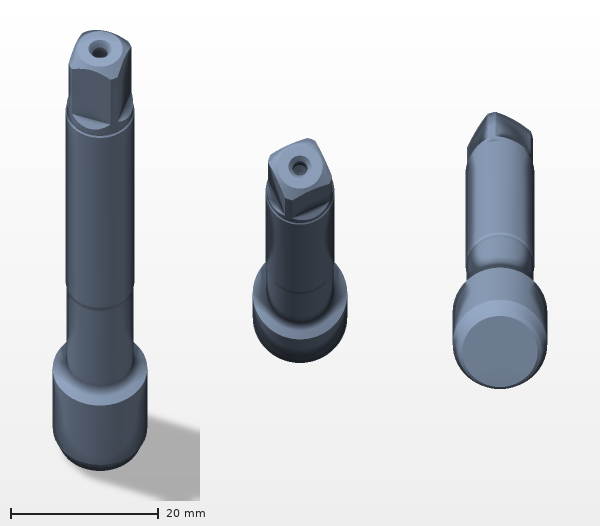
import cadquery as cq
import math

total_length = 85.85
head_length = 15.9
taper_bottom_z = 34.3
shank_bottom_z = 35.1
shank_top_z = 72.5

head_diameter = 12.8
neck_diameter = 9.02
shank_diameter = 9.32
drive_diameter = 8.95

tip_diameter = 10.2
tip_edge_diameter = 11.2
tip_edge_height = 0.55
lead_in_height = 2.9

shoulder_angle = math.radians(30)
neck_fillet_radius = 1.5

square_width = 7.05
flat_bottom_z = 74.7
runout_size = 1.0
drive_top_diameter = 6.1
drive_bevel_height = 1.35
shank_edge_height = 0.2

hole_diameter = 2.0
countersink_diameter = 3.1
countersink_half_angle = math.radians(30)
hole_depth = 3.0
drill_half_angle = math.radians(60)

flat_count = 4
clearance = 1.0


def revolve_about_z(profile):
    return profile.close().revolve(360, (0, 0), (0, 1))


def make_head():
    head_radius = head_diameter / 2
    profile = (
        cq.Workplane("XZ")
        .lineTo(tip_diameter / 2, 0)
        .lineTo(tip_edge_diameter / 2, tip_edge_height)
        .lineTo(head_radius, lead_in_height)
        .lineTo(head_radius, head_length)
        .lineTo(0, head_length)
    )
    return revolve_about_z(profile)


def make_turned_shaft():
    head_radius = head_diameter / 2
    neck_radius = neck_diameter / 2

    turn_angle = math.pi / 2 - shoulder_angle
    fillet_centre_r = neck_radius + neck_fillet_radius
    fillet_bottom_r = fillet_centre_r - neck_fillet_radius * math.cos(turn_angle)
    fillet_bottom_z = head_length + (head_radius - fillet_bottom_r) * math.tan(shoulder_angle)
    fillet_top_z = fillet_bottom_z + neck_fillet_radius * math.sin(turn_angle)
    fillet_mid_r = fillet_centre_r - neck_fillet_radius * math.cos(turn_angle / 2)
    fillet_mid_z = fillet_top_z - neck_fillet_radius * math.sin(turn_angle / 2)

    profile = (
        cq.Workplane("XZ")
        .moveTo(0, head_length)
        .lineTo(head_radius, head_length)
        .lineTo(fillet_bottom_r, fillet_bottom_z)
        .threePointArc((fillet_mid_r, fillet_mid_z), (neck_radius, fillet_top_z))
        .lineTo(neck_radius, taper_bottom_z)
        .lineTo(shank_diameter / 2, shank_bottom_z)
        .lineTo(shank_diameter / 2, shank_top_z - shank_edge_height)
        .lineTo(drive_diameter / 2, shank_top_z)
        .lineTo(drive_diameter / 2, total_length - drive_bevel_height)
        .lineTo(drive_top_diameter / 2, total_length)
        .lineTo(0, total_length)
    )
    return revolve_about_z(profile)


def make_flat_cutter():
    inner_x = square_width / 2
    outer_x = inner_x + runout_size
    top_z = total_length + clearance
    return (
        cq.Workplane("XZ")
        .moveTo(inner_x, top_z)
        .lineTo(inner_x, flat_bottom_z)
        .lineTo(outer_x, flat_bottom_z - runout_size)
        .lineTo(outer_x, top_z)
        .close()
        .extrude(drive_diameter, both=True)
    )


def make_centre_hole_cutter():
    hole_radius = hole_diameter / 2
    countersink_radius = countersink_diameter / 2
    countersink_depth = (countersink_radius - hole_radius) / math.tan(countersink_half_angle)
    point_depth = hole_radius / math.tan(drill_half_angle)
    profile = (
        cq.Workplane("XZ")
        .moveTo(0, total_length)
        .lineTo(countersink_radius, total_length)
        .lineTo(hole_radius, total_length - countersink_depth)
        .lineTo(hole_radius, total_length - hole_depth)
        .lineTo(0, total_length - hole_depth - point_depth)
    )
    return revolve_about_z(profile)


def make_shaft():
    shaft = make_turned_shaft().cut(make_centre_hole_cutter())
    flat_cutter = make_flat_cutter()
    for i in range(flat_count):
        turn = i * 360 / flat_count
        shaft = shaft.cut(flat_cutter.rotate((0, 0, 0), (0, 0, 1), turn))
    return shaft


head = make_head()
shaft = make_shaft()

result = cq.Compound.makeCompound([head.val(), shaft.val()])